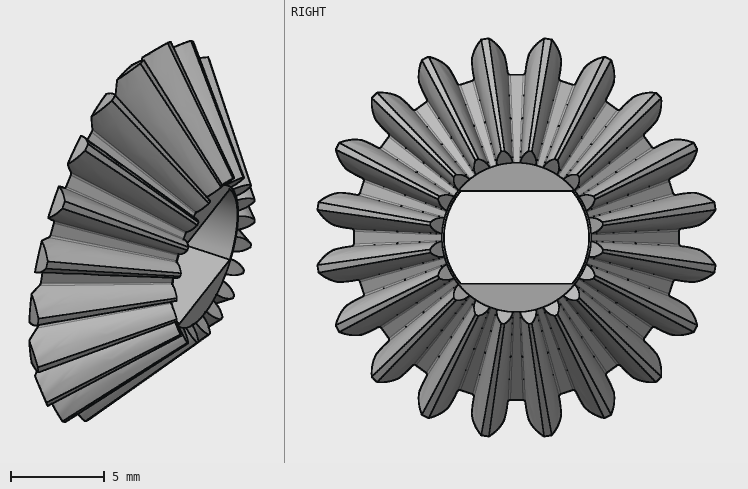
import cadquery as cq
import math


OUTER_SIZE = 21.22
TOOTH_COUNT = 20
PITCH_RADIUS = 10.0
CONE_ANGLE = math.radians(45)
FACE_WIDTH = 8.0
PITCH_POINT_X = 0.25
ROOT_RADIUS = 8.68
ROOT_FILLET = 0.13
BORE_DIAMETER = 7.72
BORE_FLATS = 4.92

HALF_AT_PITCH = 0.79
TIP_HALF_ANGLE = math.radians(1.1)
HALF_AT_ROOT = 0.91

TIP_RADIUS = OUTER_SIZE / 2 / math.cos(math.pi / TOOTH_COUNT - TIP_HALF_ANGLE)
HALF_AT_TIP = TIP_RADIUS * TIP_HALF_ANGLE

APEX_X = PITCH_POINT_X + PITCH_RADIUS / math.tan(CONE_ANGLE)
CONE_DISTANCE = PITCH_RADIUS / math.sin(CONE_ANGLE)
TIP_X = PITCH_POINT_X + (TIP_RADIUS - PITCH_RADIUS) * math.tan(CONE_ANGLE)
END_FACE_RADIUS = PITCH_RADIUS - PITCH_POINT_X / math.tan(CONE_ANGLE)

SMALL_END_SCALE = 1 - FACE_WIDTH / CONE_DISTANCE
SMALL_TIP_RADIUS = TIP_RADIUS * SMALL_END_SCALE
SMALL_TIP_X = APEX_X - (APEX_X - TIP_X) * SMALL_END_SCALE
SMALL_PITCH_RADIUS = PITCH_RADIUS * SMALL_END_SCALE
SMALL_PITCH_X = APEX_X - (APEX_X - PITCH_POINT_X) * SMALL_END_SCALE

ROOT_SLOPE = ROOT_RADIUS / APEX_X
BACK_SLOPE = math.tan(math.pi / 2 - CONE_ANGLE)
HUB_X = (ROOT_RADIUS - SMALL_PITCH_RADIUS + BACK_SLOPE * SMALL_PITCH_X) / (BACK_SLOPE + ROOT_SLOPE)
HUB_RADIUS = ROOT_SLOPE * (APEX_X - HUB_X)

LARGE_CUTTER_SCALE = 1.05
SMALL_CUTTER_SCALE = 0.3
CUTTER_MARGIN = 1.06


def make_blank():
    """Gear blank with the tip cone, both back cones and flat end faces."""
    half_section = [
        (0, 0),
        (0, END_FACE_RADIUS),
        (TIP_X, TIP_RADIUS),
        (SMALL_TIP_X, SMALL_TIP_RADIUS),
        (HUB_X, HUB_RADIUS),
        (HUB_X, 0),
    ]
    return cq.Workplane("XY").polyline(half_section).close().revolve(360, (0, 0), (1, 0))


def flank_point(radius, half_thickness, section_x):
    """Flank point as (across, outward) from the gap centre, carried from section_x to X = 0."""
    angle = math.pi / TOOTH_COUNT - half_thickness / radius
    end_radius = radius * APEX_X / (APEX_X - section_x)
    return end_radius * math.sin(angle), end_radius * math.cos(angle)


def make_gap():
    """Tooth gap tapering to the apex, centred on the +Z side."""
    root = flank_point(ROOT_RADIUS, HALF_AT_ROOT, 0)
    pitch = flank_point(PITCH_RADIUS, HALF_AT_PITCH, PITCH_POINT_X)
    tip = flank_point(TIP_RADIUS, HALF_AT_TIP, TIP_X)
    outer = (tip[0], tip[1] + CUTTER_MARGIN)

    section = (
        cq.Workplane("YZ", origin=(-APEX_X, 0, 0))
        .moveTo(-root[0], root[1])
        .lineTo(*root)
        .threePointArc(pitch, tip)
        .lineTo(*outer)
        .lineTo(-outer[0], outer[1])
        .lineTo(-tip[0], tip[1])
        .threePointArc((-pitch[0], pitch[1]), (-root[0], root[1]))
        .close()
        .val()
    )
    root_corners = [v for v in section.Vertices() if v.Z < root[1] + ROOT_FILLET]
    section = section.fillet2D(ROOT_FILLET, root_corners)
    ends = [section.scale(LARGE_CUTTER_SCALE), section.scale(SMALL_CUTTER_SCALE)]
    return cq.Solid.makeLoft(ends, True).translate(cq.Vector(APEX_X, 0, 0))


def make_bore():
    """Round bore with two flats facing +Z and -Z."""
    bore = cq.Workplane("YZ").circle(BORE_DIAMETER / 2).extrude(SMALL_TIP_X)
    flats = cq.Workplane("YZ").rect(BORE_DIAMETER, BORE_FLATS).extrude(SMALL_TIP_X)
    return bore.intersect(flats)


result = make_blank()
gap = make_gap()
for index in range(TOOTH_COUNT):
    turn = index * 360 / TOOTH_COUNT
    result = result.cut(cq.Workplane(gap.rotate(cq.Vector(0, 0, 0), cq.Vector(1, 0, 0), turn)))
result = result.cut(make_bore())